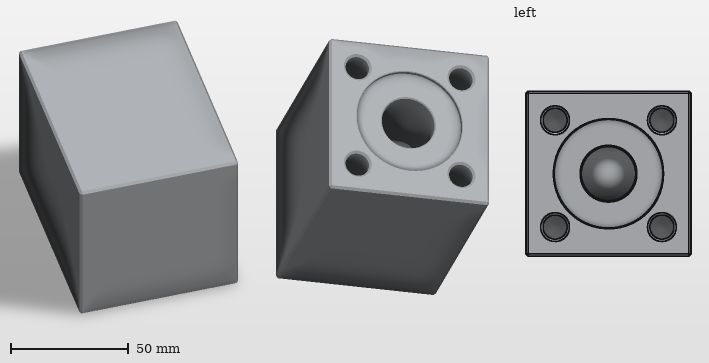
import cadquery as cq
import math

length = 94.0
side = 70.0
edge_chamfer = 1.0
chamfer_angle = 45.0

recess_diameter = 46.1
recess_depth = 2.0
recess_mouth_chamfer = 0.33
bore_diameter = 23.0
bore_mouth_diameter = 24.1

pin_diameter = 23.3
pin_axis_x = length / 2

bolt_circle_diameter = 64.0
hole_diameter = 10.2
hole_mouth_diameter = 12.2
hole_depth = 23.5
drill_tip_angle = 140.0


def blind_bore(start_x, depth, diameter, mouth_diameter, tip_depth):
    """Solid along +X for a drilled hole with a 45 degree mouth chamfer and a conical tip."""
    radius = diameter / 2
    mouth_radius = mouth_diameter / 2
    mouth_depth = mouth_radius - radius
    return (
        cq.Workplane("XY")
        .moveTo(start_x, 0)
        .lineTo(start_x, mouth_radius)
        .lineTo(start_x + mouth_depth, radius)
        .lineTo(start_x + depth, radius)
        .lineTo(start_x + depth + tip_depth, 0)
        .close()
        .revolve(360, (0, 0, 0), (1, 0, 0))
    )


def make_block():
    """Square block along X with every outer edge chamfered."""
    return (
        cq.Workplane("XY")
        .box(length, side, side, centered=(False, True, True))
        .edges()
        .chamfer(edge_chamfer)
    )


def make_recess():
    """Shallow round recess in the -X face with a chamfered rim."""
    return (
        cq.Workplane("YZ")
        .circle(recess_diameter / 2)
        .extrude(recess_depth)
        .faces("<X")
        .workplane(invert=True)
        .circle(recess_diameter / 2 + recess_mouth_chamfer)
        .extrude(recess_mouth_chamfer, taper=chamfer_angle)
    )


def make_center_bore():
    """Center bore that ends on the rounded flank of the crosswise pin."""
    depth = pin_axis_x - recess_depth
    bore = blind_bore(recess_depth, depth, bore_diameter, bore_mouth_diameter, tip_depth=0)
    pin = (
        cq.Workplane("XZ")
        .center(pin_axis_x, 0)
        .circle(pin_diameter / 2)
        .extrude(side / 2, both=True)
    )
    return bore.cut(pin)


def make_corner_holes():
    """Four blind holes on the diagonals of the -X face."""
    offset = bolt_circle_diameter / 2 * math.sqrt(0.5)
    tip_depth = hole_diameter / 2 / math.tan(math.radians(drill_tip_angle / 2))
    hole = blind_bore(0, hole_depth, hole_diameter, hole_mouth_diameter, tip_depth)
    holes = cq.Workplane("XY")
    for y_sign in (-1, 1):
        for z_sign in (-1, 1):
            holes = holes.add(hole.translate((0, y_sign * offset, z_sign * offset)))
    return holes.combine()


result = make_block().cut(make_recess()).cut(make_center_bore()).cut(make_corner_holes())